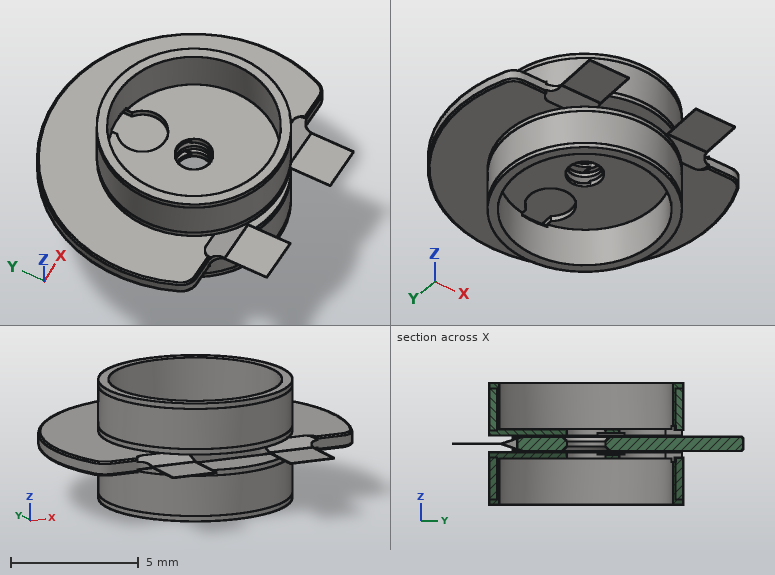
import cadquery as cq
import math


height = 4.76
spool_diameter = 7.6
sleeve_outer_diameter = 7.0
sleeve_inner_diameter = 6.79
flange_thickness = 0.22
floor_thickness = 0.26
plate_gap = 0.04
center_hole_diameter = 1.5
keyhole_diameter = 2.0
keyhole_center_y = 2.3
slot_width = 1.2
slot_rise = 0.12
channel_depth = 0.1

plate_diameter = 12.27
plate_thickness = 0.56
plate_edge_chamfer = 0.07
front_edge_y = -2.87
front_corner_radius = 0.7
hole_chamfer = 0.18

tab_end_y = -5.19
tab_outer_x = 3.5
tab_inner_x = 1.61
tab_thickness = 0.02
tab_root_radius = 0.4
notch_bottom_y = -2.7
notch_corner_radius = 0.15
taper_start_y = -2.48
taper_end_y = -3.3

plate_top = plate_thickness / 2
tab_top = tab_thickness / 2
spool_bottom = plate_top + plate_gap
coil_bottom = spool_bottom + flange_thickness
floor_top = spool_bottom + floor_thickness
spool_top = height / 2
coil_top = spool_top - flange_thickness
root_x = tab_outer_x + tab_root_radius
root_y = front_edge_y - tab_root_radius


def disc(diameter, bottom, top):
    return cq.Workplane("XY").workplane(offset=bottom).circle(diameter / 2).extrude(top - bottom)


def ring(outer_diameter, inner_diameter, bottom, top):
    return disc(outer_diameter, bottom, top).cut(disc(inner_diameter, bottom, top))


def block(width, start_y, end_y, bottom, top):
    """A box centered on X = 0."""
    box = cq.Workplane("XY").box(width, end_y - start_y, top - bottom, centered=(True, False, False))
    return box.translate((0, start_y, bottom))


def make_spool():
    """The upper spool: a floor with the lower flange around it, a sleeve and an upper flange."""
    spool = disc(spool_diameter, spool_bottom, coil_bottom)
    spool = spool.union(disc(sleeve_outer_diameter, spool_bottom, floor_top))
    spool = spool.union(ring(sleeve_outer_diameter, sleeve_inner_diameter, floor_top, spool_top))
    spool = spool.union(ring(spool_diameter, sleeve_inner_diameter, coil_top, spool_top))
    spool = spool.cut(disc(center_hole_diameter, spool_bottom, floor_top))

    keyhole = disc(keyhole_diameter, spool_bottom, floor_top).translate((0, keyhole_center_y, 0))
    slot_top = floor_top + slot_rise
    slot = block(slot_width, keyhole_center_y, spool_diameter / 2, spool_bottom, slot_top)
    spool = spool.cut(keyhole).cut(slot)

    channel = block(slot_width, 0, keyhole_center_y, spool_bottom, spool_bottom + channel_depth)
    return spool.cut(channel)


def make_coil():
    """The upper coil, which fills the spool between its flanges."""
    return ring(spool_diameter, sleeve_outer_diameter, coil_bottom, coil_top)


def make_plate_body():
    """A round plate cut off straight at the front, with rounded corners and chamfered edges."""
    kept = block(plate_diameter, front_edge_y, plate_diameter / 2, -plate_top, plate_top)
    body = disc(plate_diameter, -plate_top, plate_top).intersect(kept)
    body = body.edges("|Z").edges("<Y").fillet(front_corner_radius)
    return body.faces("<Z or >Z").edges().chamfer(plate_edge_chamfer)


def make_tab_block():
    """Both tabs as one piece at full plate thickness, with a concave round at each outer root."""
    arc_middle_x = root_x - tab_root_radius * math.sqrt(0.5)
    arc_middle_y = root_y + tab_root_radius * math.sqrt(0.5)
    return (
        cq.Workplane("XY")
        .workplane(offset=-plate_top)
        .moveTo(-root_x, taper_start_y)
        .lineTo(-root_x, front_edge_y)
        .threePointArc((-arc_middle_x, arc_middle_y), (-tab_outer_x, root_y))
        .lineTo(-tab_outer_x, tab_end_y)
        .lineTo(tab_outer_x, tab_end_y)
        .lineTo(tab_outer_x, root_y)
        .threePointArc((arc_middle_x, arc_middle_y), (root_x, front_edge_y))
        .lineTo(root_x, taper_start_y)
        .close()
        .extrude(plate_thickness)
    )


def make_tab_notch():
    """The opening between the tabs, with rounded inner corners."""
    notch = block(2 * tab_inner_x, tab_end_y, notch_bottom_y, -plate_top, plate_top)
    return notch.edges("|Z and >Y").fillet(notch_corner_radius)


def make_taper_cut():
    """What is cut away above the tabs: a slope down from the plate, then a flat."""
    profile = (
        cq.Workplane("YZ")
        .moveTo(taper_start_y, plate_top)
        .lineTo(taper_end_y, tab_top)
        .lineTo(tab_end_y, tab_top)
        .lineTo(tab_end_y, plate_top)
        .close()
        .extrude(root_x, both=True)
    )
    outline = block(2 * root_x, tab_end_y, taper_start_y, -plate_top, plate_top)
    outline = outline.edges("|Z and >Y").fillet(tab_root_radius)
    return profile.intersect(outline)


def make_center_hole_cut():
    """The hole through the plate, widened by a chamfer at both ends."""
    hole = disc(center_hole_diameter, -plate_top, plate_top)
    wide_diameter = center_hole_diameter + 2 * hole_chamfer
    countersink = disc(wide_diameter, 0, plate_top).faces("<Z").chamfer(hole_chamfer)
    countersink = countersink.translate((0, 0, plate_top - hole_chamfer))
    return hole.union(countersink).union(countersink.mirror("XY"))


def make_plate():
    taper_cut = make_taper_cut()
    plate = make_plate_body().union(make_tab_block()).cut(make_tab_notch())
    plate = plate.cut(taper_cut).cut(taper_cut.mirror("XY"))
    return plate.cut(make_center_hole_cut())


plate = make_plate()
bodies = [plate.solids().val()]
for upper_body in (make_spool(), make_coil()):
    lower_body = upper_body.mirror("XY")
    bodies.append(upper_body.solids().val())
    bodies.append(lower_body.solids().val())

result = cq.Compound.makeCompound(bodies)